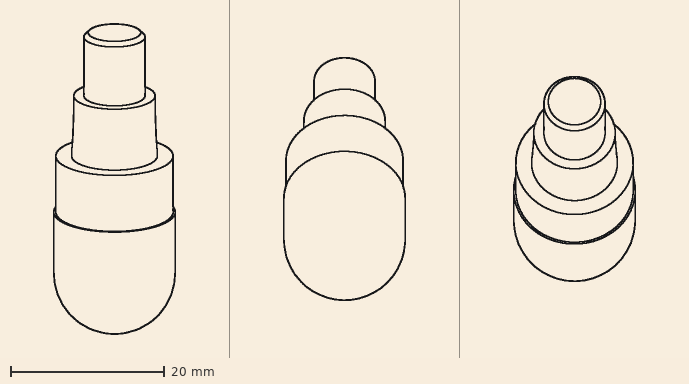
import cadquery as cq
import math

cap_radius = 7.94
cap_wall_height = 8.5

collar_radius = 7.67
collar_height = 7.75
flare_base_radius = 5.6
flare_top_radius = 5.32
flare_height = 8.35
pin_radius = 4.0
pin_chamfer = 0.58
total_height = 41.25

cap_top = cap_radius + cap_wall_height
collar_top = cap_top + collar_height
flare_top = collar_top + flare_height
pin_height = total_height - flare_top


def make_cap():
    """Cylinder with a hemispherical lower end."""
    wall = cq.Workplane("XY").workplane(offset=cap_radius).circle(cap_radius).extrude(cap_wall_height)
    dome = cq.Workplane("XY").sphere(cap_radius, angle1=-90, angle2=0).translate((0, 0, cap_radius))
    return wall.union(dome)


def make_flare():
    """Concave neck whose side is upright at the top and curves outward toward the collar."""
    flare_growth = flare_base_radius - flare_top_radius
    arc_radius = (flare_height**2 + flare_growth**2) / (2 * flare_growth)
    middle_drop = flare_height / 2
    flare_middle = flare_top - middle_drop
    flare_middle_radius = flare_top_radius + arc_radius - math.sqrt(arc_radius**2 - middle_drop**2)
    return (
        cq.Workplane("XZ")
        .moveTo(0, collar_top)
        .lineTo(0, flare_top)
        .lineTo(flare_top_radius, flare_top)
        .threePointArc((flare_middle_radius, flare_middle), (flare_base_radius, collar_top))
        .close()
        .revolve(360, (0, 0), (0, 1))
    )


def make_stud():
    """Collar, flared neck and chamfered pin as one stepped solid."""
    collar = cq.Workplane("XY").workplane(offset=cap_top).circle(collar_radius).extrude(collar_height)
    pin = (
        cq.Workplane("XY")
        .workplane(offset=flare_top)
        .circle(pin_radius)
        .extrude(pin_height)
        .faces(">Z")
        .chamfer(pin_chamfer)
    )
    return collar.union(make_flare()).union(pin)


cap = make_cap()
stud = make_stud()

result = cq.Compound.makeCompound([cap.val(), stud.val()])